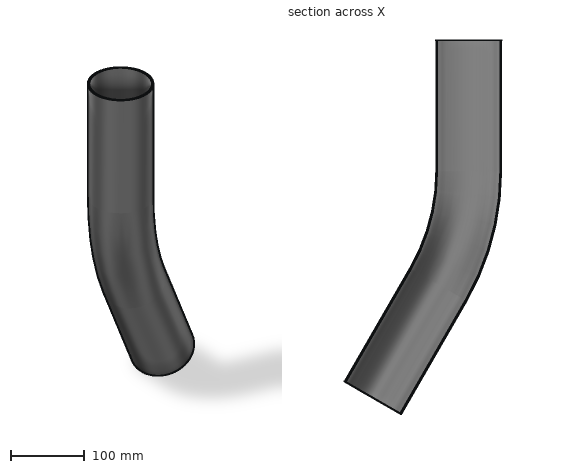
import cadquery as cq
import math

outer_diameter = 89.0
inner_diameter = 84.5
leg_length = 177.0
bend_radius = 307.0
bend_angle = math.radians(30)


def bend_point(angle):
    """Point (y, z) on the bend axis, at an angle from the start of the bend."""
    return (
        bend_radius * (1 - math.cos(angle)),
        -bend_radius * math.sin(angle),
    )


bend_end_y, bend_end_z = bend_point(bend_angle)
lower_end = (
    bend_end_y + leg_length * math.sin(bend_angle),
    bend_end_z - leg_length * math.cos(bend_angle),
)
tube_axis = (
    cq.Workplane("YZ")
    .moveTo(0, leg_length)
    .lineTo(0, 0)
    .threePointArc(bend_point(bend_angle / 2), (bend_end_y, bend_end_z))
    .lineTo(*lower_end)
)

result = (
    cq.Workplane("XY")
    .workplane(offset=leg_length)
    .circle(outer_diameter / 2)
    .circle(inner_diameter / 2)
    .sweep(tube_axis)
)